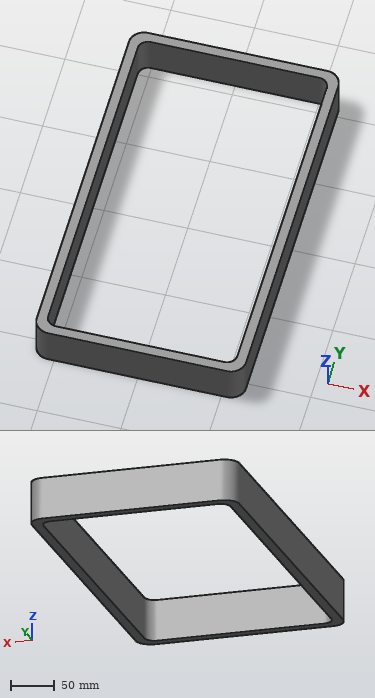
import cadquery as cq

width = 250.0
length = 450.0
height = 50.0

wall = 12.0
outer_radius = 18.0
inner_radius = 12.0


def rounded_block(size_x, size_y, corner_radius):
    """Full-height block with rounded vertical corners, standing on Z = 0."""
    block = cq.Workplane("XY").box(size_x, size_y, height, centered=(True, True, False))
    return block.edges("|Z").fillet(corner_radius)


outer_body = rounded_block(width, length, outer_radius)
opening = rounded_block(width - 2 * wall, length - 2 * wall, inner_radius)

result = outer_body.cut(opening)